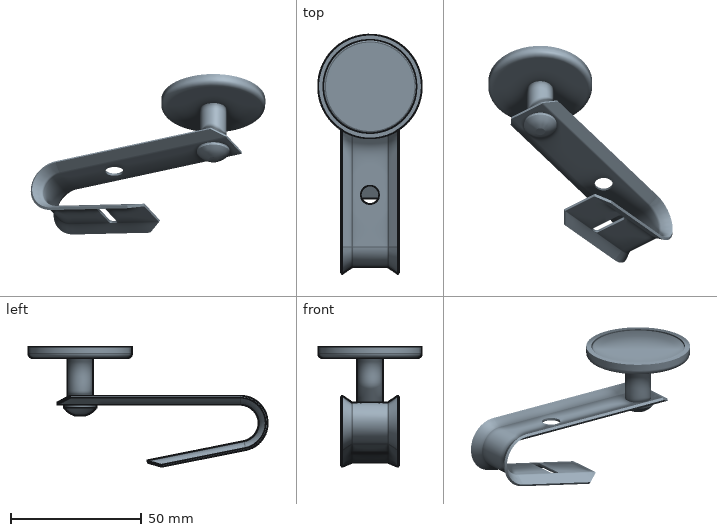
import cadquery as cq
import math


sheet = 1.0
floor_width = 13.8
flare_angle = 34.0
flare_width = 4.6
inner_fold_radius = 0.5
bend_radius = 8.0
bend_center_y = -61.55
leg_slope = 11.3
leg_length = 37.9
clip_end_y = 8.75
corner_cut = 5.4
hole_diameter = 7.0
hole_y = -41.65
slot_length = floor_width
slot_width = 3.6
slot_corner = 1.1
slot_y = -44.9

cup_diameter = 40.0
cup_height = 4.5
cup_fillet = 2.0
recess_diameter = 35.9
recess_depth = 3.0
post_diameter = 10.0
post_height = 16.9

magnet_drop = 0.3
magnet_fillet = 0.7

shank_diameter = 6.0
shank_depth = 9.2
head_diameter = 12.6
head_rim = 1.0
head_height = 4.15
head_flat_diameter = 3.7
dome_radius = 7.65

cup_top = post_height + cup_height
recess_floor = cup_top - recess_depth


def lay_on_clip(solid, distance):
    """Move a tool made at the origin to a place on the lower leg, measured past the bend."""
    at_leg_start = solid.translate((0, distance, -bend_radius))
    tilted = at_leg_start.rotate((0, 0, 0), (1, 0, 0), -leg_slope)
    return tilted.translate((0, bend_center_y, -bend_radius))


def make_flare_corners(end_direction):
    """Triangular prisms that cut both flare corners at an end lying at Y = 0, in a plane at Z = 0."""
    beyond = 0.9
    reach = flare_width + beyond
    length = corner_cut * reach / flare_width
    corner = (
        cq.Workplane("XY")
        .polyline([(0, 0), (reach, -end_direction * length), (reach, end_direction), (0, end_direction)])
        .close()
        .extrude(2 * sheet, both=True)
        .rotate((0, 0, 0), (0, 1, 0), -flare_angle)
        .translate((floor_width / 2, 0, 0))
    )
    return corner.union(corner.mirror("YZ"))


def make_channel():
    flare = math.radians(flare_angle)
    half_flare = flare / 2
    fold_x = floor_width / 2 - inner_fold_radius * math.tan(half_flare)

    def fold_point(radius, angle):
        """Point on a fold arc; the fold rises from the floor at angle 0 to the flare at its full angle."""
        return (fold_x + radius * math.sin(angle), inner_fold_radius - radius * math.cos(angle))

    outer_fold_radius = inner_fold_radius + sheet
    tip_x = floor_width / 2 + flare_width * math.cos(flare)
    tip_z = flare_width * math.sin(flare)
    under_tip_x = tip_x + sheet * math.sin(flare)
    under_tip_z = tip_z - sheet * math.cos(flare)

    def section(plane):
        half = (
            cq.Workplane(plane)
            .moveTo(0, -sheet)
            .lineTo(fold_x, -sheet)
            .threePointArc(fold_point(outer_fold_radius, half_flare), fold_point(outer_fold_radius, flare))
            .lineTo(under_tip_x, under_tip_z)
            .lineTo(tip_x, tip_z)
            .lineTo(*fold_point(inner_fold_radius, flare))
            .threePointArc(fold_point(inner_fold_radius, half_flare), fold_point(inner_fold_radius, 0))
            .lineTo(0, 0)
        )
        return half.mirrorY()

    turn = 180 - leg_slope

    upper_arm = section(cq.Plane.XZ((0, clip_end_y, 0))).extrude(clip_end_y - bend_center_y)
    bend = section(cq.Plane.XZ((0, bend_center_y, 0))).revolve(turn, (-0.9, -bend_radius), (0.9, -bend_radius))
    leg = section(cq.Plane.XZ()).extrude(leg_length).rotate((0, 0, 0), (1, 0, 0), 180)
    return upper_arm.union(bend).union(lay_on_clip(leg, 0))


def make_clip():
    clip = make_channel()
    clip = clip.cut(make_flare_corners(0.9).translate((0, clip_end_y, 0)))
    leg_corners = make_flare_corners(0.9).mirror("XY")
    clip = clip.cut(lay_on_clip(leg_corners, leg_length))

    slope = math.radians(leg_slope)
    slot_distance = (slot_y - bend_center_y + bend_radius * math.sin(slope)) / math.cos(slope)
    slot = (
        cq.Workplane("XY")
        .rect(slot_length, slot_width)
        .extrude(2 * sheet, both=True)
        .edges("|Z")
        .fillet(slot_corner)
    )
    clip = clip.cut(lay_on_clip(slot, slot_distance))

    for y, diameter in [(hole_y, hole_diameter), (0, shank_diameter)]:
        clip = clip.cut(cq.Workplane("XY").center(0, y).circle(diameter / 2).extrude(-sheet))
    return clip


def make_cup():
    cup = (
        cq.Workplane("XY", origin=(0, 0, post_height))
        .circle(cup_diameter / 2)
        .extrude(cup_height)
        .faces("<Z")
        .edges()
        .fillet(cup_fillet)
    )
    recess = cq.Workplane("XY", origin=(0, 0, recess_floor)).circle(recess_diameter / 2).extrude(recess_depth)
    post = cq.Workplane("XY").circle(post_diameter / 2).extrude(post_height)
    screw_hole = cq.Workplane("XY").circle(shank_diameter / 2).extrude(shank_depth)
    return cup.cut(recess).union(post).cut(screw_hole)


def make_magnet():
    return (
        cq.Workplane("XY", origin=(0, 0, recess_floor))
        .circle(recess_diameter / 2)
        .extrude(recess_depth - magnet_drop)
        .faces(">Z")
        .edges()
        .fillet(magnet_fillet)
    )


def make_screw():
    head_radius = head_diameter / 2
    return (
        cq.Workplane("XZ")
        .moveTo(0, shank_depth)
        .lineTo(shank_diameter / 2, shank_depth)
        .lineTo(shank_diameter / 2, -sheet)
        .lineTo(head_radius, -sheet)
        .lineTo(head_radius, -sheet - head_rim)
        .radiusArc((head_flat_diameter / 2, -sheet - head_height), dome_radius)
        .lineTo(0, -sheet - head_height)
        .close()
        .revolve(360, (0, 0), (0, 1))
    )


clip = make_clip()
cup = make_cup()
magnet = make_magnet()
screw = make_screw()

result = cq.Compound.makeCompound([clip.val(), cup.val(), magnet.val(), screw.val()])